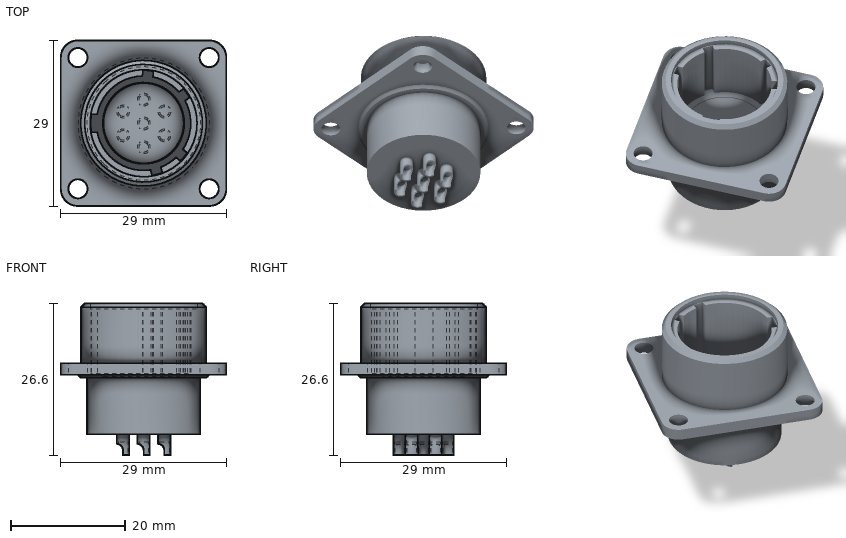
import cadquery as cq
import math

overall_height = 26.6
flange_top = 16.12
flange_thickness = 2.1
flange_bottom = flange_top - flange_thickness
pin_length = 3.62

flange_side = 29.0
corner_radius = 3.0
mount_pitch = 22.97
mount_hole_diameter = 3.3

shell_diameter = 21.98
shell_chamfer = 0.7
collar_diameter = 22.97
collar_height = 0.5
barrel_diameter = 19.9

mouth_diameter = 18.73
mouth_depth = 1.0
bore_diameter = 16.53
cavity_floor = 14.3

keyway_end_diameter = 18.5
main_key_angle = 180.0
main_key_width = 3.15
minor_key_width = 1.85
minor_key_offsets = (105.0, 140.0, 215.0, 265.0)

gap_outer_diameter = 14.27
gap_width = 0.12
gap_depth = 0.5

pin_diameter = 2.23
pin_radius = pin_diameter / 2
ring_pin_count = 6
ring_radius = 4.18
ring_start_angle = 90.0
cup_diameter = 1.68
cup_depth = 2.32
cutaway_height = 1.97


def cylinder(diameter, bottom, top):
    """Upright cylinder on the part axis between two levels."""
    return cq.Workplane("XY").workplane(offset=bottom).circle(diameter / 2).extrude(top - bottom)


def make_flange():
    """Square plate with rounded corners and four mounting holes."""
    plate = (
        cq.Workplane("XY")
        .workplane(offset=flange_bottom)
        .rect(flange_side, flange_side)
        .extrude(flange_thickness)
        .edges("|Z")
        .fillet(corner_radius)
    )
    return (
        plate.faces(">Z")
        .workplane()
        .rect(mount_pitch, mount_pitch, forConstruction=True)
        .vertices()
        .hole(mount_hole_diameter)
    )


def make_body():
    """Shell, chamfered collar and rear barrel, all solid."""
    shell = cylinder(shell_diameter, flange_bottom, overall_height)
    shell = shell.faces(">Z").chamfer(shell_chamfer)
    collar = (
        cq.Workplane("XY")
        .workplane(offset=flange_bottom)
        .circle(collar_diameter / 2)
        .workplane(offset=-collar_height)
        .circle(collar_diameter / 2 - collar_height)
        .loft(ruled=True)
    )
    barrel = cylinder(barrel_diameter, pin_length, flange_bottom)
    return shell.union(collar).union(barrel)


def make_keyway(angle, width):
    """Straight-sided slot running out from the axis and ending on a round wall."""
    slot = (
        cq.Workplane("XY")
        .workplane(offset=cavity_floor)
        .center(keyway_end_diameter / 2, 0)
        .rect(keyway_end_diameter, width)
        .extrude(overall_height - cavity_floor)
        .rotate((0, 0, 0), (0, 0, 1), angle)
    )
    return slot.intersect(cylinder(keyway_end_diameter, cavity_floor, overall_height))


def make_cavity():
    """Volume removed from the shell: mouth, bore, keyways and insert gap."""
    cavity = cylinder(bore_diameter, cavity_floor, overall_height)
    cavity = cavity.union(cylinder(mouth_diameter, overall_height - mouth_depth, overall_height))
    cavity = cavity.union(make_keyway(main_key_angle, main_key_width))
    for offset in minor_key_offsets:
        cavity = cavity.union(make_keyway(main_key_angle + offset, minor_key_width))
    gap_floor = cavity_floor - gap_depth
    gap = cylinder(gap_outer_diameter, gap_floor, cavity_floor)
    gap = gap.cut(cylinder(gap_outer_diameter - 2 * gap_width, gap_floor, cavity_floor))
    return cavity.union(gap)


def make_pin():
    """Pin with a blind solder cup, its -X half cut away at the tip under a quarter-round."""
    arc_base = cutaway_height - pin_radius
    arc_reach = pin_radius * math.sqrt(0.5)
    cutaway = (
        cq.Workplane("XZ")
        .moveTo(-pin_radius, 0)
        .lineTo(0, 0)
        .lineTo(0, arc_base)
        .threePointArc((arc_reach - pin_radius, arc_base + arc_reach), (-pin_radius, cutaway_height))
        .close()
        .extrude(pin_radius, both=True)
    )
    pin = cylinder(pin_diameter, 0, pin_length)
    return pin.cut(cylinder(cup_diameter, 0, cup_depth)).cut(cutaway)


def pin_positions():
    """Centre of the part followed by the evenly spaced ring."""
    positions = [(0, 0)]
    for index in range(ring_pin_count):
        angle = math.radians(ring_start_angle + index * 360 / ring_pin_count)
        positions.append((ring_radius * math.cos(angle), ring_radius * math.sin(angle)))
    return positions


result = make_flange().union(make_body()).cut(make_cavity())
pin = make_pin()
for x, y in pin_positions():
    result = result.union(pin.translate((x, y, 0)))